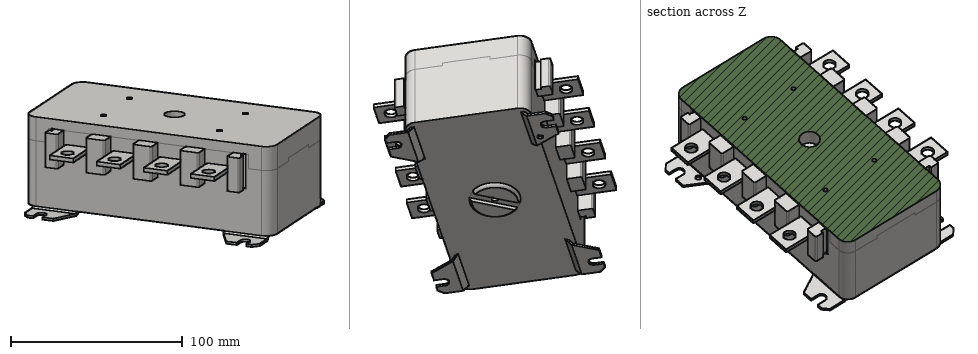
import cadquery as cq
import math

body_length = 158.0
body_width = 75.0
corner_radius = 7.0
top_z = 58.0
body_bottom_z = 3.5
parting_z = 43.5
side_wall_y = body_width / 2

barrier_top_z = 52.0
long_step_length = 127.5
long_step_depth = 3.0
short_step_width = 28.5
short_step_height = 2.0

pole_count = 4
pole_pitch = 30.0
terminal_width = 15.0
terminal_length = 122.0
terminal_thickness = 2.5
terminal_bottom_z = parting_z - terminal_thickness
terminal_hole_diameter = 7.5
terminal_hole_y = 52.25

barrier_bottom_z = 31.0
barrier_reach_y = 46.5
barrier_edge_radius = 1.0
inner_barrier_width = 12.0
end_barrier_outer_x = 62.0
end_barrier_width = 8.0
end_barrier_neck_step = 1.7
end_barrier_neck_y = 40.8
wall_slot_depth = 0.7

foot_thickness = 1.5
foot_outer_x = 75.0
foot_tip_y = 50.0
foot_tip_inner_x = 55.2
foot_bend_y = 35.4
foot_bend_inner_x = 47.0
foot_chamfer = 3.5
foot_slot_x = 65.0
foot_slot_width = 6.0
foot_slot_end_y = 41.6
foot_hole_x = 54.5
foot_hole_y = 39.0
foot_hole_diameter = 3.4

hub_radius = 15.0
hub_tip_radius = 13.5
hub_bulge = 0.3
hub_root_depth = 2.0
hub_bottom_z = 1.0
hub_slot_width = 6.8
hub_slot_cut_length = 40.0
hub_slot_angle = -60.0

shaft_bore_diameter = 12.0
shaft_bore_depth = 15.0
shaft_hole_diameter = 4.0
screw_spacing_x = 74.0
screw_spacing_y = 37.0
screw_hole_diameter = 2.2
screw_hole_depth = 10.0
screw_recess_diameter = 3.2
screw_recess_depth = 1.0

SIDES = (1, -1)


def box(x_range, y_range, z_range):
    """Axis-aligned box given by its limits along each axis."""
    size_x = x_range[1] - x_range[0]
    size_y = y_range[1] - y_range[0]
    size_z = z_range[1] - z_range[0]
    corner = (x_range[0], y_range[0], z_range[0])
    return cq.Workplane("XY").box(size_x, size_y, size_z, centered=False).translate(corner)


def mirrored(shape, side_x, side_y):
    """Copy of a shape from the +X +Y quarter, moved to the chosen quarter."""
    if side_x < 0:
        shape = shape.mirror("YZ")
    if side_y < 0:
        shape = shape.mirror("XZ")
    return shape


def make_case():
    """Housing and lid, keeping the stepped joint line between them."""
    blank = (
        cq.Workplane("XY", origin=(0, 0, body_bottom_z))
        .rect(body_length, body_width)
        .extrude(top_z - body_bottom_z)
        .edges("|Z").fillet(corner_radius)
    )
    half_length = body_length / 2
    lower = box((-half_length, half_length), (-side_wall_y, side_wall_y), (body_bottom_z, parting_z))
    half_step = long_step_length / 2
    half_short = short_step_width / 2
    for side in SIDES:
        long_y = sorted((side * side_wall_y, side * (side_wall_y - long_step_depth)))
        lower = lower.union(box((-half_step, half_step), long_y, (parting_z, barrier_top_z)))
        short_x = sorted((side * half_length, side * (half_length - long_step_depth)))
        short_z = (parting_z, parting_z + short_step_height)
        lower = lower.union(box(short_x, (-half_short, half_short), short_z))
    housing = blank.intersect(lower)
    lid = blank.cut(lower)
    return housing.union(lid, clean=False)


def make_terminal(x):
    """Flat bar with a screw hole at each end."""
    bar = (
        cq.Workplane("XY", origin=(x, 0, terminal_bottom_z))
        .rect(terminal_width, terminal_length)
        .extrude(terminal_thickness)
    )
    holes = (
        cq.Workplane("XY", origin=(x, 0, terminal_bottom_z))
        .pushPoints([(0, side * terminal_hole_y) for side in SIDES])
        .circle(terminal_hole_diameter / 2)
        .extrude(terminal_thickness)
    )
    return bar.cut(holes)


def make_inner_barrier(x):
    """Plain rib between two poles, on the +Y side."""
    half = inner_barrier_width / 2
    rib = box((x - half, x + half), (0, barrier_reach_y), (barrier_bottom_z, barrier_top_z))
    return rib.edges("|Z and >Y").fillet(barrier_edge_radius)


def make_end_barrier():
    """Rib outside the last pole, with a narrower neck next to the wall."""
    inner_x = end_barrier_outer_x - end_barrier_width
    z_range = (barrier_bottom_z, barrier_top_z)
    rib = box((inner_x, end_barrier_outer_x), (0, barrier_reach_y), z_range)
    rib = rib.edges("|Z and >Y").fillet(barrier_edge_radius)
    neck_x = end_barrier_outer_x - end_barrier_neck_step
    return rib.cut(box((neck_x, end_barrier_outer_x), (0, end_barrier_neck_y), z_range))


def make_wall_slot():
    """Shallow slot in the wall beside the neck of the end barrier."""
    neck_x = end_barrier_outer_x - end_barrier_neck_step
    y_range = (side_wall_y - wall_slot_depth, side_wall_y)
    return box((neck_x, end_barrier_outer_x), y_range, (barrier_bottom_z, barrier_top_z))


def make_foot():
    """Foot of the +X +Y corner: flat slotted tab with a 45 degree bend up to the body."""
    rise = body_bottom_z
    bend_shift = foot_thickness * (math.sqrt(2) - 1)
    top_bend_y = foot_bend_y + bend_shift
    sheet = (
        cq.Workplane("YZ")
        .polyline([
            (foot_tip_y, 0),
            (foot_bend_y, 0),
            (foot_bend_y - rise, rise),
            (top_bend_y + foot_thickness - rise, rise),
            (top_bend_y, foot_thickness),
            (foot_tip_y, foot_thickness),
        ])
        .close()
        .extrude(foot_outer_x)
    )
    taper = (foot_tip_inner_x - foot_bend_inner_x) / (foot_tip_y - foot_bend_y)
    root_y = foot_bend_y - rise
    root_inner_x = foot_bend_inner_x - taper * rise
    outline = (
        cq.Workplane("XY")
        .polyline([
            (foot_outer_x, root_y),
            (foot_outer_x, foot_tip_y - foot_chamfer),
            (foot_outer_x - foot_chamfer, foot_tip_y),
            (foot_tip_inner_x, foot_tip_y),
            (root_inner_x, root_y),
        ])
        .close()
        .extrude(rise)
    )
    slot_arc_y = foot_slot_end_y + foot_slot_width / 2
    half_slot = foot_slot_width / 2
    slot = box(
        (foot_slot_x - half_slot, foot_slot_x + half_slot),
        (slot_arc_y, foot_tip_y),
        (0, foot_thickness),
    )
    slot_end = cq.Workplane("XY").center(foot_slot_x, slot_arc_y).circle(half_slot).extrude(foot_thickness)
    slot = slot.union(slot_end)
    return sheet.intersect(outline).cut(slot)


def make_foot_hole():
    """Small hole in the foot of the +X +Y corner."""
    return (
        cq.Workplane("XY")
        .center(foot_hole_x, foot_hole_y)
        .circle(foot_hole_diameter / 2)
        .extrude(foot_thickness)
    )


def make_hub():
    """Round hub with a bulging rim, rooted in the housing and slotted across its full width."""
    height = body_bottom_z - hub_bottom_z
    rim_middle_radius = (hub_radius + hub_tip_radius) / 2 + hub_bulge
    rim_middle_z = (body_bottom_z + hub_bottom_z) / 2 - hub_bulge
    hub = (
        cq.Workplane("XZ")
        .moveTo(0, hub_bottom_z)
        .lineTo(hub_tip_radius, hub_bottom_z)
        .threePointArc((rim_middle_radius, rim_middle_z), (hub_radius, body_bottom_z))
        .lineTo(hub_radius, body_bottom_z + hub_root_depth)
        .lineTo(0, body_bottom_z + hub_root_depth)
        .close()
        .revolve(360, (0, 0, 0), (0, 1, 0))
    )
    slot = (
        cq.Workplane("XY", origin=(0, 0, hub_bottom_z))
        .rect(hub_slot_cut_length, hub_slot_width)
        .extrude(height)
        .rotate((0, 0, 0), (0, 0, 1), hub_slot_angle)
    )
    return hub.cut(slot)


def make_round_hole(diameter, depth):
    """Cutter for a hole on the Z axis, sunk from the top face."""
    return cq.Workplane("XY", origin=(0, 0, top_z)).circle(diameter / 2).extrude(-depth)


def make_screw_hole(x, y):
    """Cutter for a blind screw hole with a shallow recess at its mouth."""
    hole = make_round_hole(screw_hole_diameter, screw_hole_depth)
    recess = make_round_hole(screw_recess_diameter, screw_recess_depth)
    return hole.union(recess).translate((x, y, 0))


def centred_positions(count):
    """X positions of a row of items at the pole pitch, centred on the case."""
    return [(index - (count - 1) / 2) * pole_pitch for index in range(count)]


part = make_case()

for side_x in SIDES:
    for side_y in SIDES:
        part = part.cut(mirrored(make_wall_slot(), side_x, side_y), clean=False)
        part = part.union(mirrored(make_end_barrier(), side_x, side_y), clean=False)
        part = part.union(mirrored(make_foot(), side_x, side_y), clean=False)
part = part.cut(make_foot_hole(), clean=False)

for x in centred_positions(pole_count):
    part = part.union(make_terminal(x), clean=False)

for x in centred_positions(pole_count - 1):
    for side_y in SIDES:
        part = part.union(mirrored(make_inner_barrier(x), 1, side_y), clean=False)

part = part.union(make_hub(), clean=False)
part = part.cut(make_round_hole(shaft_bore_diameter, shaft_bore_depth), clean=False)
part = part.cut(make_round_hole(shaft_hole_diameter, top_z), clean=False)

for side_x in SIDES:
    for side_y in SIDES:
        screw_hole = make_screw_hole(side_x * screw_spacing_x / 2, side_y * screw_spacing_y / 2)
        part = part.cut(screw_hole, clean=False)

result = part.solids()